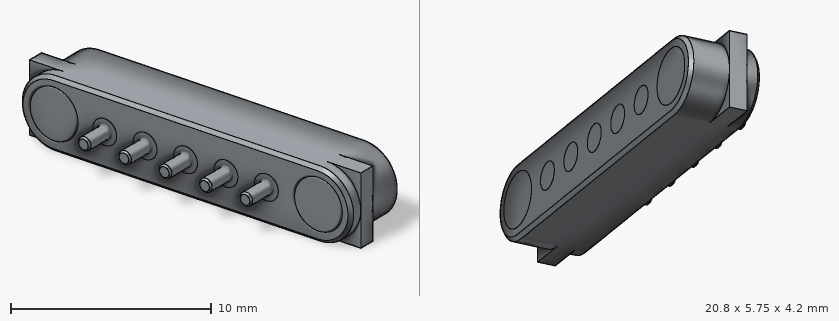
import cadquery as cq
import math

length = 20.8
height = 4.2
depth = 4.0
edge_chamfer = 0.2
flange_thickness = 1.0
flange_setback = 0.8

magnet_diameter = 3.0
magnet_edge_radius = 0.1
magnet_offset = (length - height) / 2

pin_count = 5
pin_pitch = 2.54
pin_base_diameter = 1.5
tail_diameter = 0.8
tail_length = 1.75
tail_root_radius = 0.1
tail_tip_chamfer = 0.1

magnet_xs = [-magnet_offset, magnet_offset]
pin_xs = [(i - (pin_count - 1) / 2) * pin_pitch for i in range(pin_count)]

ARC_SAG = 1 - math.sqrt(0.5)


def cylinder(x, diameter, y_start, y_end):
    """Cylinder along Y at x, from y_start to a larger y_end."""
    return (
        cq.Workplane("XZ", origin=(x, y_start, 0))
        .circle(diameter / 2)
        .extrude(y_start - y_end)
    )


def make_flare(x, diameter, radius, y_end):
    """Round boss along Y at x whose side flares out at Y = y_end in a concave arc.

    The boss runs from one arc radius off y_end, on the side given by the sign of radius,
    up to y_end, where it is wider than diameter by twice the arc radius.
    """
    boss_radius = diameter / 2
    size = abs(radius)
    wide_rim = (boss_radius + size, y_end)
    arc_middle = (boss_radius + size * ARC_SAG, y_end + radius * ARC_SAG)
    narrow_rim = (boss_radius, y_end + radius)
    return (
        cq.Workplane("XY")
        .moveTo(0, y_end)
        .lineTo(*wide_rim)
        .threePointArc(arc_middle, narrow_rim)
        .lineTo(0, y_end + radius)
        .close()
        .revolve(360, (0, 0), (0, 1))
        .translate((x, 0, 0))
    )


def make_magnet(x):
    """Disc through the full housing depth, rounded at its front edge."""
    return cylinder(x, magnet_diameter, 0, depth).faces("<Y").edges().fillet(magnet_edge_radius)


def make_magnet_hole(x):
    """Through hole that fits a magnet, its mouth rounded at the front face."""
    mouth = make_flare(x, magnet_diameter, magnet_edge_radius, 0)
    return cylinder(x, magnet_diameter, 0, depth).union(mouth)


def make_pin(x):
    """Contact pin: base flush with both housing faces, tail with a filleted root and chamfered tip."""
    base = cylinder(x, pin_base_diameter, 0, depth)
    tail = cylinder(x, tail_diameter, -tail_length, 0).faces("<Y").chamfer(tail_tip_chamfer)
    root = make_flare(x, tail_diameter, -tail_root_radius, 0)
    return base.union(tail).union(root)


def make_pin_hole(x):
    """Plain through hole that fits a pin base."""
    return cylinder(x, pin_base_diameter, 0, depth)


def make_housing():
    """Chamfered round-ended bar with its flange and the holes for magnets and pins."""
    bar = (
        cq.Workplane("XZ")
        .slot2D(length, height)
        .extrude(-depth)
        .faces("<Y or >Y")
        .chamfer(edge_chamfer)
    )
    flange = (
        cq.Workplane("XZ", origin=(0, flange_setback, 0))
        .rect(length, height)
        .extrude(-flange_thickness)
    )
    body = bar.union(flange)
    for x in magnet_xs:
        body = body.cut(make_magnet_hole(x))
    for x in pin_xs:
        body = body.cut(make_pin_hole(x))
    return body


housing = make_housing()
magnets = [make_magnet(x).solids().val() for x in magnet_xs]
pins = [make_pin(x).solids().val() for x in pin_xs]

result = cq.Compound.makeCompound([housing.solids().val(), *magnets, *pins])